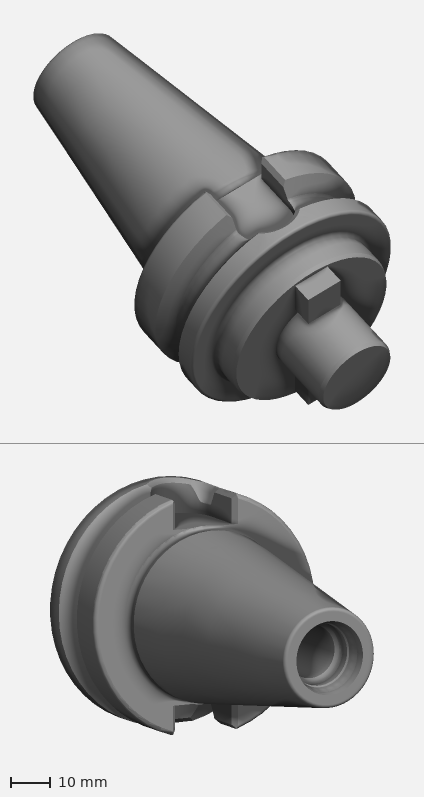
import cadquery as cq
import math

total_length = 119.4

taper_slope = 7 / 48
taper_end = 64.0
taper_end_radius = 22.1
tip_radius = taper_end_radius - taper_slope * taper_end
tip_round = 1.0

neck_start = 64.7
neck_radius = 21.6
neck_round = 1.2

flange_start = 67.3
flange_end = 92.0
flange_diameter = 62.9
flange_radius = flange_diameter / 2
flange_start_round = 1.1
flange_end_round = 0.8
groove_start = 76.9
groove_end = 86.7
groove_radius = 26.5
groove_half_angle = 30.0
groove_round = 1.0

hub_end = 100.3
hub_radius = 24.0
hub_root_round = 1.1
hub_chamfer_length = 1.1
hub_chamfer_depth = 0.5
pilot_radius = 11.1
pilot_chamfer_length = 1.1
pilot_chamfer_depth = 0.6

slot_half_width = 8.0
slot_floor = 22.5
slot_end = 88.2
slot_chamfer = 1.2

key_width = 10.1
key_end = 105.8
key_inner = 12.2
key_outer = 22.2

mouth_radius = 9.4
mouth_end = 2.4
mouth_end_radius = 9.1
lead_in_end = 5.4
lead_in_radius = 8.4
recess_start = 5.9
recess_radius = 8.0
recess_end = 9.0
recess_round = 1.7
drill_radius = 6.8
drill_end = 35.8
recess_end_angle = 40.0
drill_point_angle = 59.0


def make_body():
    groove_run = (flange_radius - groove_radius) * math.tan(math.radians(groove_half_angle))
    profile = (
        cq.Workplane("XY")
        .moveTo(0, 0)
        .lineTo(0, -tip_radius)
        .lineTo(taper_end, -taper_end_radius)
        .lineTo(neck_start, -neck_radius)
        .lineTo(flange_start, -neck_radius)
        .lineTo(flange_start, -flange_radius)
        .lineTo(groove_start, -flange_radius)
        .lineTo(groove_start + groove_run, -groove_radius)
        .lineTo(groove_end - groove_run, -groove_radius)
        .lineTo(groove_end, -flange_radius)
        .lineTo(flange_end, -flange_radius)
        .lineTo(flange_end, -hub_radius)
        .lineTo(hub_end - hub_chamfer_length, -hub_radius)
        .lineTo(hub_end, -(hub_radius - hub_chamfer_depth))
        .lineTo(hub_end, -pilot_radius)
        .lineTo(total_length - pilot_chamfer_length, -pilot_radius)
        .lineTo(total_length, -(pilot_radius - pilot_chamfer_depth))
        .lineTo(total_length, 0)
        .close()
    )
    body = profile.revolve(360, (0, 0, 0), (1, 0, 0))
    rounds = (
        (0, tip_radius, tip_round),
        (flange_start, neck_radius, neck_round),
        (flange_start, flange_radius, flange_start_round),
        (groove_start + groove_run, groove_radius, groove_round),
        (groove_end - groove_run, groove_radius, groove_round),
        (flange_end, flange_radius, flange_end_round),
        (flange_end, hub_radius, hub_root_round),
    )
    for x, radius, size in rounds:
        body = round_ring(body, x, radius, size)
    return body


def round_ring(body, x, radius, size):
    """Fillet the circular edge of the given radius at station x."""
    tolerance = 0.01
    rings = [
        edge
        for edge in body.edges("%CIRCLE").vals()
        if abs(edge.Center().x - x) < tolerance and abs(edge.radius() - radius) < tolerance
    ]
    return body.newObject(rings).fillet(size)


def make_slot():
    """Return the cutter for the upper slot, with its flared entry and flared top edges."""
    arc_center = slot_end - slot_half_width
    flared_half_width = slot_half_width + slot_chamfer
    plan = (
        cq.Workplane("XY", origin=(0, 0, slot_floor))
        .moveTo(flange_start, -flared_half_width)
        .lineTo(flange_start + slot_chamfer, -slot_half_width)
        .lineTo(arc_center, -slot_half_width)
        .threePointArc((slot_end, 0), (arc_center, slot_half_width))
        .lineTo(flange_start + slot_chamfer, slot_half_width)
        .lineTo(flange_start, flared_half_width)
        .close()
        .extrude(flange_radius)
    )
    flare_top = math.sqrt(flange_radius**2 - flared_half_width**2)
    flare_height = 3 * slot_chamfer
    flare_bottom = flare_top - slot_chamfer
    flare_reach = slot_half_width + flare_height
    groove_middle = (groove_start + groove_end) / 2
    flare = (
        cq.Workplane("YZ", origin=(flange_start, 0, 0))
        .moveTo(-slot_half_width, flare_bottom)
        .lineTo(slot_half_width, flare_bottom)
        .lineTo(flare_reach, flare_bottom + flare_height)
        .lineTo(-flare_reach, flare_bottom + flare_height)
        .close()
        .extrude(groove_middle - flange_start)
    )
    return plan.union(flare)


def chamfer_slot_ends(body):
    """Chamfer the curved rim that each slot end leaves on the flange edge."""
    margin = 0.06
    for side in (-1, 1):
        inner = side * groove_radius
        outer = side * (flange_radius + margin)
        end_rim = cq.selectors.BoxSelector(
            (groove_end, -slot_half_width, min(inner, outer)),
            (slot_end + margin, slot_half_width, max(inner, outer)),
        )
        body = body.edges(end_rim).chamfer(slot_chamfer)
    return body


def make_key():
    return (
        cq.Workplane("YZ", origin=(hub_end, 0, (key_inner + key_outer) / 2))
        .rect(key_width, key_outer - key_inner)
        .extrude(key_end - hub_end)
    )


def make_bore():
    drill_start = recess_end + (recess_radius - drill_radius) / math.tan(math.radians(recess_end_angle))
    drill_tip = drill_end + drill_radius / math.tan(math.radians(drill_point_angle))
    bore = (
        cq.Workplane("XY")
        .moveTo(0, 0)
        .lineTo(0, -mouth_radius)
        .lineTo(mouth_end, -mouth_end_radius)
        .lineTo(lead_in_end, -lead_in_radius)
        .lineTo(recess_start, -recess_radius)
        .lineTo(recess_end, -recess_radius)
        .lineTo(drill_start, -drill_radius)
        .lineTo(drill_end, -drill_radius)
        .lineTo(drill_tip, 0)
        .close()
        .revolve(360, (0, 0, 0), (1, 0, 0))
    )
    return round_ring(bore, recess_end, recess_radius, recess_round)


result = make_body()
slot = make_slot()
key = make_key()
for angle in (0, 180):
    result = result.cut(slot.rotate((0, 0, 0), (1, 0, 0), angle))
    result = result.union(key.rotate((0, 0, 0), (1, 0, 0), angle))
result = chamfer_slot_ends(result)
result = result.cut(make_bore())